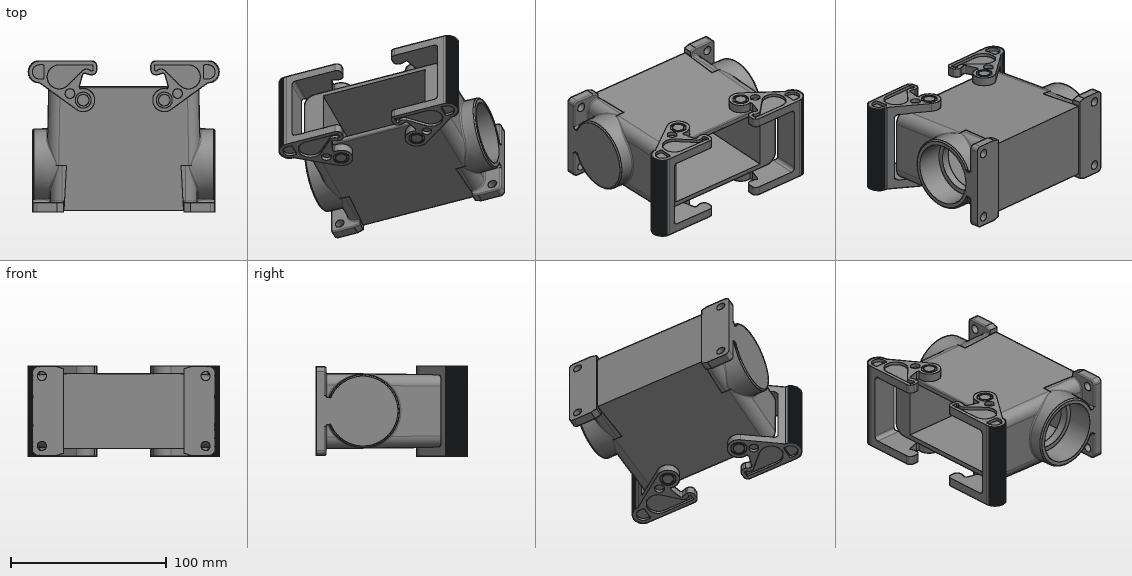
import cadquery as cq
import math


front_y = 1.0
rear_y = 80.4
front_half_height = 24.05
rear_half_height = 23.4
wide_half_width = 49.1
rear_half_width = 48.2
narrow_half_width = 47.0
corner_radius = 7.4
rear_edge_radius = 0.7

pad_inner_front_x = 38.3
pad_inner_rear_x = 36.7

edge_margin = 0.1

pipe_y = 30.0
pipe_radius = 23.3
pipe_draft_angle = 1.3
pipe_end_x = 58.5
pipe_end_chamfer = 0.9
pipe_root_fillet = 0.8
bore_radius = 20.0
bore_end_x = 40.5
throat_radius = 17.0

foot_inner_x = 38.5
foot_half_height = 28.4
foot_thickness = 6.3
foot_corner_radius = 3.0
foot_edge_radius = 0.9
foot_root_fillet = 0.7
foot_bevel_width = 4.2
foot_bevel_height = 1.4
screw_x = 52.5
screw_z = 22.4
screw_diameter = 5.8
web_slot_radius = 1.45
web_slot_y = 7.75
web_slot_z = 10.05

cavity_half_width = 35.0
cavity_half_height = 20.0
cavity_front_y = 6.0

lever_half_height = 29.0
arm_inner_z = 23.2
grip_x = 54.0
grip_y = 89.9
grip_radius = 7.0
pivot_x = 26.0
pivot_y = 71.8
pivot_radius = 7.4
hook_tip_x = 17.3
hook_bottom_y = 88.0
hook_corner_radius = 3.2
hook_bottom_x = 21.8
hook_throat_x = 26.0
hook_throat_y = 89.4
hook_throat_fillet = 1.3
heel_x = 28.5
heel_y = 80.5
window_x = 50.0
window_corner_radius = 2.5
pivot_groove_outer_radius = 5.1
pivot_groove_inner_radius = 3.7
pivot_groove_depth = 1.0
blind_hole_x = 34.5
blind_hole_y = 76.0
blind_hole_diameter = 6.2
blind_hole_depth = 2.5
pocket_depth = 2.0
pocket_x = 41.4
pocket_y = 86.7
pocket_radius = 7.7
pocket_tip_x = 19.6
pocket_tip_bottom_y = 90.8
pocket_lip_x = 21.1
pocket_lip_y = 90.4
pocket_peak_x = 23.9
pocket_peak_y = 91.7
pocket_shoulder_x = 26.4
pocket_shoulder_y = 90.7
end_pocket_radius = 4.6
end_pocket_flat_x = 51.2
end_pocket_corner_radius = 0.9
rib_count = 17
rib_pitch_angle = 9.0
rib_radius = 0.3

lever_top_y = grip_y + grip_radius
grip_tail_y = grip_y - grip_radius


def both_sides(shape):
    """The shape on the -X side together with its mirror image on the +X side."""
    return shape.union(shape.mirror("YZ"))


def y_prism(x_min, x_max, y_min, y_max, half_height):
    """A box centred on Z = 0."""
    size = (x_max - x_min, y_max - y_min, 2 * half_height)
    return cq.Workplane().box(*size, centered=(False, False, True)).translate((x_min, y_min, 0))


def x_cylinder(radius, x_min, x_max):
    """A cylinder on the pipe axis."""
    circle = cq.Workplane("YZ", origin=(x_min, pipe_y, 0)).circle(radius)
    return circle.extrude(x_max - x_min)


def rear_shell():
    """The drafted housing between the pipe axis and the rear, and its core down to the front."""
    side_profile = (
        cq.Workplane("YZ", origin=(-wide_half_width, 0, 0))
        .moveTo(front_y, -front_half_height)
        .lineTo(rear_y, -rear_half_height)
        .lineTo(rear_y, rear_half_height)
        .lineTo(front_y, front_half_height)
        .close()
        .extrude(2 * wide_half_width)
    )
    plan = (
        cq.Workplane("XY")
        .moveTo(-wide_half_width, pipe_y)
        .lineTo(-rear_half_width, rear_y)
        .lineTo(rear_half_width, rear_y)
        .lineTo(wide_half_width, pipe_y)
        .close()
        .extrude(front_half_height, both=True)
    )
    rear = side_profile.intersect(plan)
    long_edges = cq.selectors.BoxSelector(
        (-wide_half_width, pipe_y + edge_margin, -front_half_height),
        (wide_half_width, rear_y - edge_margin, front_half_height),
    )
    rear = rear.edges(long_edges).fillet(corner_radius)
    rear = rear.faces(">Y").edges().fillet(rear_edge_radius)
    core = side_profile.intersect(
        y_prism(-foot_inner_x, foot_inner_x, front_y, pipe_y, front_half_height)
    )
    return rear.union(core)


def side_pad():
    """The narrower front corner of the housing, standing slightly proud of the drafted faces."""
    pad = (
        cq.Workplane("XY")
        .moveTo(-narrow_half_width, front_y)
        .lineTo(-narrow_half_width, pipe_y)
        .lineTo(-pad_inner_rear_x, pipe_y)
        .lineTo(-pad_inner_front_x, front_y)
        .close()
        .extrude(front_half_height, both=True)
    )
    return pad.edges("|Y").fillet(corner_radius)


def pipe():
    """The cable pipe, widening towards the housing, with its chamfered rim."""
    rim = cq.Workplane("YZ", origin=(-pipe_end_x, pipe_y, 0)).circle(pipe_radius)
    tube = rim.extrude(pipe_end_x - foot_inner_x, taper=-pipe_draft_angle)
    return tube.faces("<X").chamfer(pipe_end_chamfer)


def pipe_root_edges(shell, y_min, y_max):
    """The curved edges between these heights where the pipes run into the shell."""
    edges = []
    for edge in shell.edges().vals():
        box = edge.BoundingBox()
        nearest_x = min(abs(box.xmin), abs(box.xmax))
        farthest_x = max(abs(box.xmin), abs(box.xmax))
        at_wall = nearest_x > foot_inner_x and farthest_x < wide_half_width + pipe_root_fillet
        spans_height = box.ymin > y_min - edge_margin and box.ymax < y_max + edge_margin
        if edge.geomType() != "LINE" and at_wall and spans_height and box.ylen > pipe_end_chamfer:
            edges.append(edge)
    return edges


def foot_root_edges(shell):
    """The edges where the corners of the housing stand on the feet."""
    reach_x = narrow_half_width + edge_margin
    reach_z = front_half_height + edge_margin
    edges = []
    for edge in shell.edges().vals():
        box = edge.BoundingBox()
        on_foot = abs(box.ymin - foot_thickness) < edge_margin and box.ylen < edge_margin
        nearest_x = min(abs(box.xmin), abs(box.xmax))
        farthest_x = max(abs(box.xmin), abs(box.xmax))
        inside_x = nearest_x > foot_inner_x - edge_margin and farthest_x < reach_x
        inside_z = max(abs(box.zmin), abs(box.zmax)) < reach_z
        if on_foot and inside_x and inside_z:
            edges.append(edge)
    return edges


def foot():
    """The mounting foot and the web that joins it to the pipe."""
    bevel_z = foot_half_height - foot_bevel_height
    plate = (
        cq.Workplane("XZ")
        .moveTo(-pipe_end_x, -foot_half_height)
        .lineTo(-foot_inner_x - foot_bevel_width, -foot_half_height)
        .lineTo(-foot_inner_x, -bevel_z)
        .lineTo(-foot_inner_x, bevel_z)
        .lineTo(-foot_inner_x - foot_bevel_width, foot_half_height)
        .lineTo(-pipe_end_x, foot_half_height)
        .close()
        .extrude(-foot_thickness)
        .edges("|Y and <X")
        .fillet(foot_corner_radius)
        .faces(">Y")
        .edges("not >X")
        .fillet(foot_edge_radius)
    )
    web = y_prism(-pipe_end_x, -foot_inner_x, foot_thickness / 2, web_slot_y + web_slot_radius, web_slot_z)
    slots = (
        cq.Workplane("YZ", origin=(-pipe_end_x, 0, 0))
        .pushPoints([(web_slot_y, -web_slot_z), (web_slot_y, web_slot_z)])
        .circle(web_slot_radius)
        .extrude(pipe_end_x - foot_inner_x)
    )
    return plate.union(web.cut(slots))


def screw_holes():
    """The two screw holes of one foot."""
    return (
        cq.Workplane("XZ")
        .pushPoints([(-screw_x, -screw_z), (-screw_x, screw_z)])
        .circle(screw_diameter / 2)
        .extrude(-foot_thickness)
    )


def disc(x, y, radius):
    """A cylinder along Z over the full height of the lever."""
    circle = cq.Workplane("XY").center(x, y).circle(radius)
    return circle.extrude(lever_half_height, both=True)


def tangent_point(x, y, radius, far_x, far_y, side):
    """Where a line from the far point touches the circle, on the given side (+1 or -1)."""
    distance = math.hypot(far_x - x, far_y - y)
    angle = math.atan2(far_y - y, far_x - x) + side * math.acos(radius / distance)
    return (x + radius * math.cos(angle), y + radius * math.sin(angle))


def lever_blank():
    """The hooked lever outline as a block, with the gripping ribs on its rounded end."""
    tail = (-grip_x, grip_tail_y)
    tangent = tangent_point(-pivot_x, pivot_y, pivot_radius, *tail, 1)
    hook = (
        cq.Workplane("XY")
        .moveTo(-grip_x, lever_top_y)
        .lineTo(-hook_tip_x, lever_top_y)
        .lineTo(-hook_tip_x, hook_bottom_y)
        .lineTo(-hook_bottom_x, hook_bottom_y)
        .lineTo(-hook_throat_x, hook_throat_y)
        .lineTo(-heel_x, heel_y)
        .lineTo(-pivot_x, pivot_y)
        .lineTo(*tangent)
        .lineTo(*tail)
        .close()
        .extrude(lever_half_height, both=True)
    )
    hook = hook.edges("|Z and >X").fillet(hook_corner_radius)
    throat_edge = cq.selectors.NearestToPointSelector((-hook_throat_x, hook_throat_y, 0))
    hook = hook.edges(throat_edge).fillet(hook_throat_fillet)
    blank = hook.union(disc(-grip_x, grip_y, grip_radius))
    blank = blank.union(disc(-pivot_x, pivot_y, pivot_radius))
    for index in range(rib_count):
        angle = math.radians(180 + (index - (rib_count - 1) / 2) * rib_pitch_angle)
        rib_x = -grip_x + grip_radius * math.cos(angle)
        rib_y = grip_y + grip_radius * math.sin(angle)
        blank = blank.union(disc(rib_x, rib_y, rib_radius))
    return blank


def hook_pocket():
    """The pocket that follows the outline of the hook."""
    shoulder = (-pocket_shoulder_x, pocket_shoulder_y)
    tangent = tangent_point(-pocket_x, pocket_y, pocket_radius, *shoulder, -1)
    top_y = pocket_y + pocket_radius
    return (
        cq.Workplane("XY", origin=(0, 0, lever_half_height - pocket_depth))
        .moveTo(-pocket_x, top_y)
        .lineTo(-pocket_tip_x, top_y)
        .lineTo(-pocket_tip_x, pocket_tip_bottom_y)
        .lineTo(-pocket_lip_x, pocket_lip_y)
        .threePointArc((-pocket_peak_x, pocket_peak_y), shoulder)
        .lineTo(*tangent)
        .threePointArc((-pocket_x - pocket_radius, pocket_y), (-pocket_x, top_y))
        .close()
        .extrude(pocket_depth)
    )


def end_pocket():
    """The D-shaped pocket in the rounded end."""
    top_y = grip_y + end_pocket_radius
    bottom_y = grip_y - end_pocket_radius
    return (
        cq.Workplane("XY", origin=(0, 0, lever_half_height - pocket_depth))
        .moveTo(-grip_x, top_y)
        .lineTo(-end_pocket_flat_x, top_y)
        .lineTo(-end_pocket_flat_x, bottom_y)
        .lineTo(-grip_x, bottom_y)
        .threePointArc((-grip_x - end_pocket_radius, grip_y), (-grip_x, top_y))
        .close()
        .extrude(pocket_depth)
        .edges("|Z and >X")
        .fillet(end_pocket_corner_radius)
    )


def pivot_groove():
    """The ring groove around the pivot."""
    return (
        cq.Workplane("XY", origin=(-pivot_x, pivot_y, lever_half_height - pivot_groove_depth))
        .circle(pivot_groove_outer_radius)
        .circle(pivot_groove_inner_radius)
        .extrude(pivot_groove_depth)
    )


def blind_hole():
    """The blind hole beside the pivot."""
    floor_z = lever_half_height - blind_hole_depth
    floor = cq.Workplane("XY", origin=(-blind_hole_x, blind_hole_y, floor_z))
    return floor.circle(blind_hole_diameter / 2).extrude(blind_hole_depth)


def lever():
    """The locking lever: two hooked arms joined by the grip bar."""
    window = y_prism(-window_x, 0, 0, 2 * lever_top_y, arm_inner_z)
    window = window.edges("|Y and <X").fillet(window_corner_radius)
    body = lever_blank().cut(window)
    for recess in (hook_pocket(), end_pocket(), pivot_groove(), blind_hole()):
        body = body.cut(recess).cut(recess.mirror("XY"))
    return body


def cavity():
    """The chamber inside the housing."""
    return y_prism(-cavity_half_width, cavity_half_width, cavity_front_y, rear_y, cavity_half_height)


def cable_bore():
    """The stepped bore through the -X pipe into the chamber; the +X pipe stays blind."""
    mouth = x_cylinder(bore_radius, -pipe_end_x, -bore_end_x)
    return mouth.union(x_cylinder(throat_radius, -bore_end_x, -cavity_half_width))


def housing():
    """The hollow housing with pipes and feet, rounded where they meet."""
    shell = rear_shell().union(both_sides(side_pad().union(pipe())))
    rear_roots = pipe_root_edges(shell, pipe_y, pipe_y + pipe_radius)
    shell = shell.newObject(rear_roots).fillet(pipe_root_fillet)
    front_roots = pipe_root_edges(shell, pipe_y - pipe_radius, pipe_y)
    shell = shell.newObject(front_roots).fillet(pipe_root_fillet)
    shell = shell.union(both_sides(foot()))
    shell = shell.cut(cavity()).cut(cable_bore()).cut(both_sides(screw_holes()))
    return shell.newObject(foot_root_edges(shell)).fillet(foot_root_fillet)


result = housing().union(both_sides(lever()))